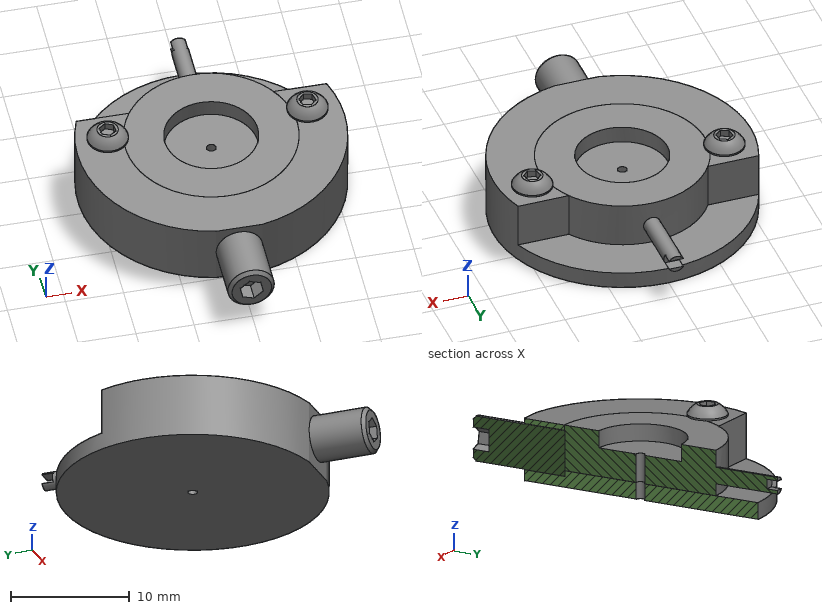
import cadquery as cq
import math

housing_radius = 11.5
housing_height = 5.5
floor_thickness = 1.5
shelf_edge_y = 4.0
flat_width = 4.0
flat_y = -math.sqrt(housing_radius**2 - (flat_width / 2) ** 2)

insert_radius = 7.4
insert_height = housing_height - floor_thickness
pocket_radius = 4.0
pocket_depth = 1.5
pinhole_diameter = 0.8
stem_diameter = 1.5
stem_length = 6.0
stem_height = 3.25
stem_slot_depth = 1.0
stem_slot_width = 0.8

clamp_screw_x = 8.6
clamp_screw_y = 1.5
head_radius = 1.75
head_height = 1.0
head_rim_height = 0.15
head_top_radius = 0.9
clamp_hex_corner_diameter = 1.45
clamp_hex_depth = 0.6
clamp_shank_diameter = 2.0
clamp_shank_length = 4.0
left_hex_angle = 97
right_hex_angle = 105

set_screw_diameter = 4.0
set_screw_height = 3.0
set_screw_projection = 5.0
set_screw_chamfer = 0.3
set_screw_outer_y = flat_y - set_screw_projection
set_screw_length = -insert_radius - set_screw_outer_y
set_hex_corner_diameter = 2.08
set_hex_depth = 1.5
set_hex_angle = 41

hex_sides = 6


def make_housing():
    body = cq.Workplane("XY").circle(housing_radius).extrude(housing_height)

    shelf_cut = (
        cq.Workplane("XY", origin=(0, shelf_edge_y, floor_thickness))
        .rect(2 * housing_radius, 2 * housing_radius)
        .extrude(insert_height)
        .translate((0, housing_radius, 0))
    )

    seat = cq.Workplane("XY", origin=(0, 0, floor_thickness)).circle(insert_radius).extrude(insert_height)
    pinhole = cq.Workplane("XY").circle(pinhole_diameter / 2).extrude(floor_thickness)

    flat_cut = (
        cq.Workplane("XY")
        .rect(2 * housing_radius, 2 * housing_radius)
        .extrude(housing_height)
        .translate((0, flat_y - housing_radius, 0))
    )

    set_screw_hole = (
        cq.Workplane("XZ", origin=(0, -insert_radius, set_screw_height))
        .circle(set_screw_diameter / 2)
        .extrude(set_screw_length)
    )

    clamp_screw_holes = (
        cq.Workplane("XY", origin=(0, 0, housing_height))
        .pushPoints([(-clamp_screw_x, clamp_screw_y), (clamp_screw_x, clamp_screw_y)])
        .circle(clamp_shank_diameter / 2)
        .extrude(-clamp_shank_length)
    )

    for cut in (shelf_cut, seat, pinhole, flat_cut, set_screw_hole, clamp_screw_holes):
        body = body.cut(cut)
    return body


def make_insert():
    disc = cq.Workplane("XY", origin=(0, 0, floor_thickness)).circle(insert_radius).extrude(insert_height)

    stem_end_y = insert_radius + stem_length
    stem_root_y = (pocket_radius + insert_radius) / 2
    stem = (
        cq.Workplane("XZ", origin=(0, stem_end_y, stem_height))
        .circle(stem_diameter / 2)
        .extrude(stem_end_y - stem_root_y)
    )
    stem_slot = cq.Workplane("XY", origin=(0, stem_end_y, stem_height)).box(
        stem_diameter, 2 * stem_slot_depth, stem_slot_width
    )

    pocket = (
        cq.Workplane("XY", origin=(0, 0, housing_height)).circle(pocket_radius).extrude(-pocket_depth)
    )
    pinhole = (
        cq.Workplane("XY", origin=(0, 0, floor_thickness))
        .circle(pinhole_diameter / 2)
        .extrude(insert_height)
    )
    return disc.union(stem).cut(stem_slot).cut(pocket).cut(pinhole)


def make_clamp_screw(x, hex_angle):
    dome_height = head_height - head_rim_height
    dome_centre = (head_top_radius**2 + dome_height**2 - head_radius**2) / (2 * dome_height)
    dome_radius = math.hypot(head_radius, dome_centre)
    dome_middle_height = dome_height / 2
    dome_middle_radius = math.sqrt(dome_radius**2 - (dome_middle_height - dome_centre) ** 2)

    head = (
        cq.Workplane("XZ")
        .lineTo(head_radius, 0)
        .lineTo(head_radius, head_rim_height)
        .threePointArc(
            (dome_middle_radius, head_rim_height + dome_middle_height),
            (head_top_radius, head_height),
        )
        .lineTo(0, head_height)
        .close()
        .revolve(360, (0, 0, 0), (0, 1, 0))
    )
    shank = cq.Workplane("XY").circle(clamp_shank_diameter / 2).extrude(-clamp_shank_length)
    socket = (
        cq.Workplane("XY", origin=(0, 0, head_height))
        .polygon(hex_sides, clamp_hex_corner_diameter)
        .extrude(-clamp_hex_depth)
        .rotate((0, 0, 0), (0, 0, 1), hex_angle)
    )
    screw = head.union(shank).cut(socket)
    return screw.translate((x, clamp_screw_y, housing_height))


def make_set_screw():
    shaft_plane = cq.Workplane("XZ", origin=(0, -insert_radius, set_screw_height))
    shaft = (
        shaft_plane.circle(set_screw_diameter / 2)
        .extrude(set_screw_length)
        .faces("<Y")
        .chamfer(set_screw_chamfer)
    )
    socket = (
        cq.Workplane("XZ", origin=(0, set_screw_outer_y, set_screw_height))
        .transformed(rotate=(0, 0, set_hex_angle))
        .polygon(hex_sides, set_hex_corner_diameter)
        .extrude(-set_hex_depth)
    )
    return shaft.cut(socket)


housing = make_housing()
insert = make_insert()
set_screw = make_set_screw()
clamp_screws = [
    make_clamp_screw(x, hex_angle)
    for x, hex_angle in ((-clamp_screw_x, left_hex_angle), (clamp_screw_x, right_hex_angle))
]

result = cq.Compound.makeCompound(
    [housing.val(), insert.val(), set_screw.val(), *[screw.val() for screw in clamp_screws]]
)